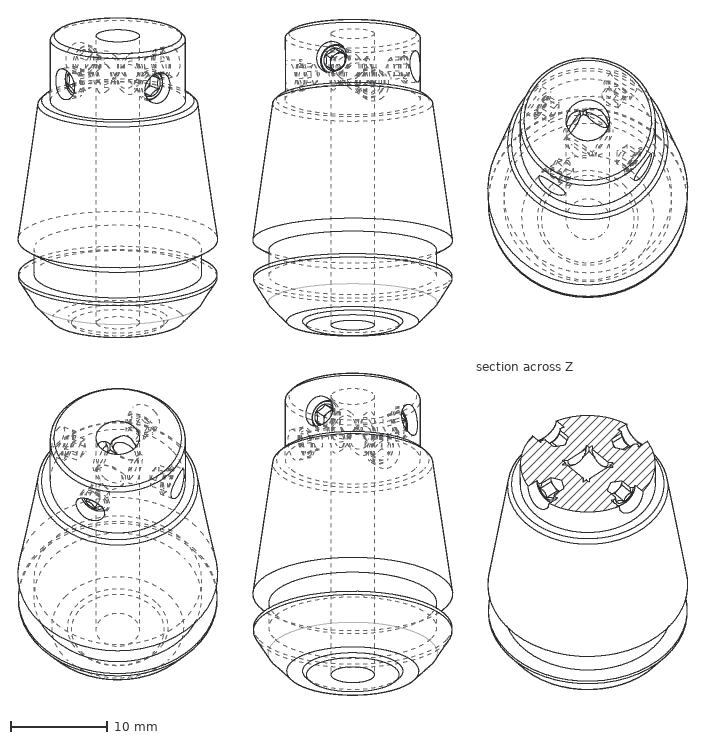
import cadquery as cq
import math

height = 31.0
edge_chamfer = 0.4
hub_radius = 14.0 / 2
hub_length = 7.0
shoulder_radius = 16.62 / 2
taper_bottom_radius = 20.75 / 2
taper_bottom_z = 9.0
groove_radius = 17.4 / 2
groove_top_z = 8.0
groove_bottom_z = 5.25
lip_radius = 20.6 / 2
lip_thickness = 0.37
nose_break_radius = 17.55 / 2
nose_break_z = 2.4
nose_bottom_radius = 13.7 / 2
boss_radius = 9.6 / 2
boss_height = 0.4
bore_radius = 4.5 / 2

screw_count = 4
screw_depth_from_top = 4.0
screw_hole_radius = 3.25 / 2
screw_radius = 4.0 / 2
screw_length = 4.0
tip_distance = 1.7
tip_radius = 1.27
head_radius = 1.5

socket_across_flats = 2.0
socket_mouth_radius = 1.2
socket_depth = 1.5
socket_cone_depth = 0.6

hub_bottom_z = height - hub_length
screw_z = height - screw_depth_from_top
head_distance = tip_distance + screw_length
socket_bottom = head_distance - socket_depth
socket_across_corners = socket_across_flats / math.cos(math.radians(30))


def revolved(points):
    """Solid turned around Z from a closed (radius, height) outline."""
    return cq.Workplane("XZ").polyline(points).close().revolve(360, (0, 0, 0), (0, 1, 0))


def make_body():
    """Hub, tapered shoulder, groove, lip, nose and boss, with a bore right through."""
    body = revolved([
        (0, 0),
        (boss_radius, 0),
        (boss_radius + boss_height, boss_height),
        (nose_bottom_radius, boss_height),
        (nose_break_radius, nose_break_z),
        (lip_radius, groove_bottom_z - lip_thickness),
        (lip_radius, groove_bottom_z),
        (groove_radius, groove_bottom_z),
        (groove_radius, groove_top_z),
        (taper_bottom_radius, taper_bottom_z),
        (shoulder_radius, hub_bottom_z - edge_chamfer),
        (shoulder_radius - edge_chamfer, hub_bottom_z),
        (hub_radius, hub_bottom_z),
        (hub_radius, height - edge_chamfer),
        (hub_radius - edge_chamfer, height),
        (0, height),
    ])
    bore = cq.Workplane("XY").circle(bore_radius).extrude(height)
    return body.cut(bore)


def make_socket():
    """Hexagon socket along Z, with a countersunk mouth and a drilled bottom."""
    hexagon = cq.Workplane("XY").workplane(offset=socket_bottom)
    hexagon = hexagon.polygon(6, socket_across_corners).extrude(socket_depth)
    countersink = revolved([
        (0, head_distance),
        (socket_mouth_radius, head_distance),
        (0, head_distance - socket_mouth_radius),
    ])
    drill_tip = revolved([
        (0, socket_bottom),
        (socket_across_flats / 2, socket_bottom),
        (0, socket_bottom - socket_cone_depth),
    ])
    return hexagon.union(countersink).union(drill_tip)


def make_screw():
    """Set screw along Z with 45 degree chamfers at both ends, tip toward the origin."""
    blank = revolved([
        (0, tip_distance),
        (tip_radius, tip_distance),
        (screw_radius, tip_distance + screw_radius - tip_radius),
        (screw_radius, head_distance - (screw_radius - head_radius)),
        (head_radius, head_distance),
        (0, head_distance),
    ])
    return blank.cut(make_socket())


def make_screw_hole():
    """Hole along Z, from the bore axis out past the hub."""
    return cq.Workplane("XY").circle(screw_hole_radius).extrude(shoulder_radius)


def place_on_hub(solid, index):
    """Turn a solid built along Z to point outward from the hub axis at screw height."""
    angle = index * 360 / screw_count
    outward = solid.rotate((0, 0, 0), (0, 1, 0), 90)
    return outward.rotate((0, 0, 0), (0, 0, 1), angle).translate((0, 0, screw_z))


screw_hole = make_screw_hole()
screw = make_screw()
result = make_body()
for index in range(screw_count):
    result = result.cut(place_on_hub(screw_hole, index))
for index in range(screw_count):
    result = result.union(place_on_hub(screw, index))